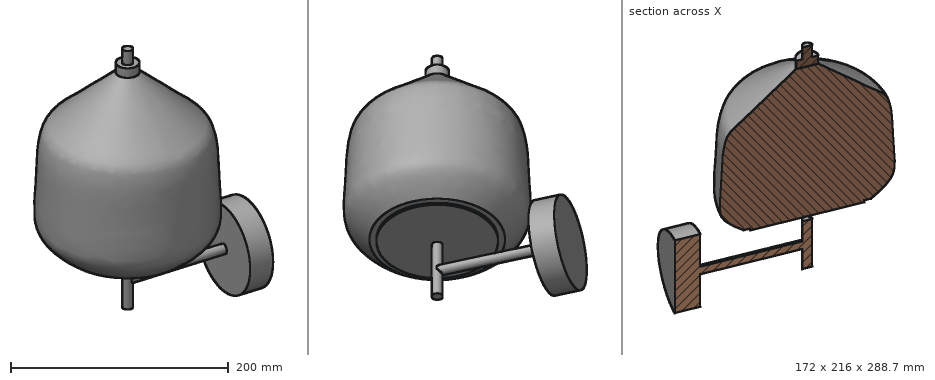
import cadquery as cq

total_height = 288.7
rod_diameter = 10.0
rod_radius = rod_diameter / 2

plate_radius = 45.0
plate_thickness = 25.0
wall_y = 130.0
stem_length = 59.2

base_radius = 62.4
base_z = 81.0
side_points = [
    (75.0, 91.8),
    (84.3, 105.0),
    (86.0, 119.8),
    (84.3, 153.0),
    (81.7, 190.5),
    (77.0, 204.0),
    (65.8, 215.3),
    (38.7, 239.3),
]
lip_radius = 56.0
lip_height = 2.3

collar_radius = 11.0
collar_height = 10.0
top_rod_length = 14.7
collar_base_z = total_height - top_rod_length - collar_height


def make_bracket():
    """Round wall plate, horizontal arm and upright stem in one piece."""
    axis_z = plate_radius
    wall = cq.Workplane("XZ", origin=(0, wall_y, axis_z))
    plate = wall.circle(plate_radius).extrude(plate_thickness)
    arm = wall.circle(rod_radius).extrude(wall_y)
    stem = (
        cq.Workplane("XY", origin=(0, 0, axis_z - stem_length / 2))
        .circle(rod_radius)
        .extrude(stem_length)
    )
    return plate.union(arm).union(stem)


def make_shade():
    """Turned shade with a thin lip below, a rounded belly, and a conical top."""
    lip_z = base_z - lip_height
    return (
        cq.Workplane("XZ")
        .moveTo(0, lip_z)
        .lineTo(lip_radius, lip_z)
        .lineTo(lip_radius, base_z)
        .lineTo(base_radius, base_z)
        .spline([*side_points, (collar_radius, collar_base_z)], includeCurrent=True)
        .lineTo(0, collar_base_z)
        .close()
        .revolve(360, (0, 0, 0), (0, 1, 0))
    )


def make_top_fitting():
    """Collar resting on the shade, with a short rod above it."""
    return (
        cq.Workplane("XY", origin=(0, 0, collar_base_z))
        .circle(collar_radius)
        .extrude(collar_height)
        .faces(">Z")
        .workplane()
        .circle(rod_radius)
        .extrude(top_rod_length)
    )


bracket = make_bracket()
shade = make_shade()
top_fitting = make_top_fitting()

result = cq.Compound.makeCompound([bracket.val(), shade.val(), top_fitting.val()])